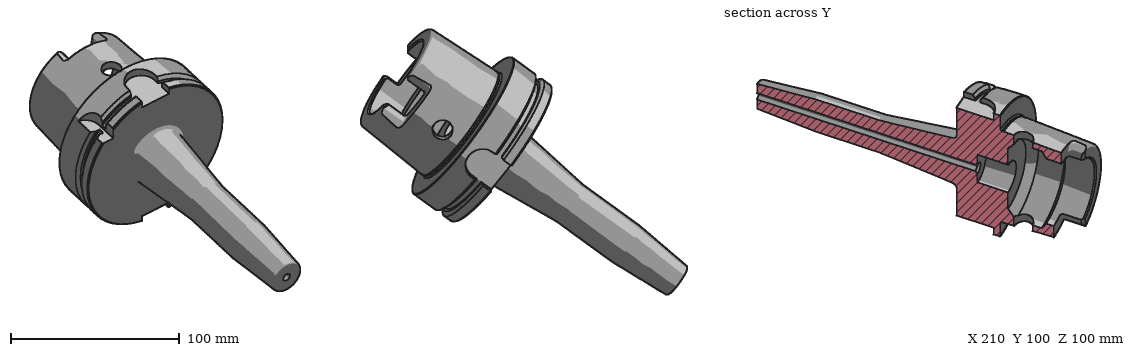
import cadquery as cq


SHANK_LENGTH = 50.0
TAPER_LARGE_RADIUS = 37.83
RELIEF_RADIUS = 75.42 / 2
TAPER_SLOPE = 0.05
RELIEF_START_X = -2.2
RELIEF_FLOOR_END_X = -1.0
COLLAR_RADIUS = 38.5
MOUTH_RADIUS = 53.0 / 2
MOUTH_CHAMFER = 0.9
MOUTH_END_X = -30.0
UNDERCUT_RADIUS = 63.0 / 2
UNDERCUT_CONE_LENGTH = 2.9
CAVITY_END_X = -5.0
CAVITY_FLOOR_RADIUS = 24.6
CAVITY_FLOOR_CONE_LENGTH = 5.0
CLAMP_HOLE_X = -15.0
CLAMP_HOLE_DIAMETER = 12.0
FRONT_EDGE_FILLET = 1.9

DRIVE_SLOT_HALF_WIDTH = 9.8
DRIVE_SLOT_SHOULDER_Z = 32.1
DRIVE_SLOT_SHOULDER_FILLET = 5.5
DRIVE_SLOT_END_FILLET = 1.8
DRIVE_SLOT_BEVEL_WIDTH = 2.0
DRIVE_SLOT_BEVEL_LENGTH = 1.6
UPPER_DRIVE_SLOT_DEPTH = 10.0
LOWER_DRIVE_SLOT_DEPTH = 15.0

FLANGE_RADIUS = 50.0
FLANGE_WIDTH = 29.0
FLANGE_FRONT_CHAMFER = 0.4
FLANGE_BACK_CHAMFER = 0.7
GROOVE_CENTRE_X = 19.75
GROOVE_MOUTH_WIDTH = 6.2
GROOVE_FLOOR_WIDTH = 3.4
GROOVE_FLOOR_RADIUS = 45.6
GROOVE_STEP_RADIUS = 47.4

KEYWAY_WIDTH = 20.0
KEYWAY_FLOOR = 44.5
KEYWAY_END_X = 4.6
NOTCH_FLOOR_Z = 31.2
NOTCH_WALL_Y = -31.2

NECK_RADIUS = 19.05
NECK_FILLET = 3.0
WAIST_X = 79.7
WAIST_RADIUS = 27.0 / 2
TIP_CONE_X = 121.7
TIP_X = 160.0
TIP_RADIUS = 21.0 / 2
TIP_FILLET = 1.0

COOLANT_BORE_DIAMETER = 22.38
COOLANT_BORE_DEPTH = 20.0
CHANNEL_RADIUS = 4.92 / 2
COUNTERSINK_RADIUS = 7.94 / 2
COUNTERSINK_DEPTH = 1.5


def taper_radius(x):
    return TAPER_LARGE_RADIUS + TAPER_SLOPE * (x - RELIEF_START_X)


def revolve_about_x(outline):
    return outline.close().revolve(360, (0, 0, 0), (1, 0, 0))


def turned_over(shape):
    return shape.rotate((0, 0, 0), (1, 0, 0), 180)


def shank():
    body = revolve_about_x(
        cq.Workplane("XY")
        .moveTo(-SHANK_LENGTH, 0)
        .lineTo(-SHANK_LENGTH, taper_radius(-SHANK_LENGTH))
        .lineTo(RELIEF_START_X, TAPER_LARGE_RADIUS)
        .lineTo(RELIEF_START_X, RELIEF_RADIUS)
        .lineTo(RELIEF_FLOOR_END_X, RELIEF_RADIUS)
        .lineTo(0, COLLAR_RADIUS)
        .lineTo(0, 0)
    )
    body = body.faces("<X").edges().fillet(FRONT_EDGE_FILLET)
    body = body.cut(drive_slot(UPPER_DRIVE_SLOT_DEPTH))
    body = body.cut(turned_over(drive_slot(LOWER_DRIVE_SLOT_DEPTH)))
    return body.cut(cavity())


def cavity():
    return revolve_about_x(
        cq.Workplane("XY")
        .moveTo(-SHANK_LENGTH, 0)
        .lineTo(-SHANK_LENGTH, MOUTH_RADIUS + MOUTH_CHAMFER)
        .lineTo(-SHANK_LENGTH + MOUTH_CHAMFER, MOUTH_RADIUS)
        .lineTo(MOUTH_END_X, MOUTH_RADIUS)
        .lineTo(MOUTH_END_X + UNDERCUT_CONE_LENGTH, UNDERCUT_RADIUS)
        .lineTo(CAVITY_END_X - CAVITY_FLOOR_CONE_LENGTH, UNDERCUT_RADIUS)
        .lineTo(CAVITY_END_X, CAVITY_FLOOR_RADIUS)
        .lineTo(CAVITY_END_X, 0)
    )


def drive_slot(depth):
    """Slot at +Z whose walls round over into flat shoulders, open to the end of the shank."""
    half_width = DRIVE_SLOT_HALF_WIDTH
    fillet = DRIVE_SLOT_SHOULDER_FILLET
    shoulder_y = half_width + fillet
    wall_top_z = DRIVE_SLOT_SHOULDER_Z - fillet
    clear = FLANGE_RADIUS
    channel = (
        cq.Workplane("YZ", origin=(-SHANK_LENGTH, 0, 0))
        .moveTo(-half_width, 0)
        .lineTo(-half_width, wall_top_z)
        .radiusArc((-shoulder_y, DRIVE_SLOT_SHOULDER_Z), -fillet)
        .lineTo(-clear, DRIVE_SLOT_SHOULDER_Z)
        .lineTo(-clear, clear)
        .lineTo(clear, clear)
        .lineTo(clear, DRIVE_SLOT_SHOULDER_Z)
        .lineTo(shoulder_y, DRIVE_SLOT_SHOULDER_Z)
        .radiusArc((half_width, wall_top_z), -fillet)
        .lineTo(half_width, 0)
        .close()
        .extrude(depth)
        .faces(">X").edges().fillet(DRIVE_SLOT_END_FILLET)
    )
    bevel = (
        cq.Workplane("XY", origin=(-SHANK_LENGTH, 0, 0))
        .moveTo(0, -half_width - DRIVE_SLOT_BEVEL_WIDTH)
        .lineTo(DRIVE_SLOT_BEVEL_LENGTH, -half_width)
        .lineTo(DRIVE_SLOT_BEVEL_LENGTH, half_width)
        .lineTo(0, half_width + DRIVE_SLOT_BEVEL_WIDTH)
        .close()
        .extrude(clear)
    )
    return channel.union(bevel)


def flange():
    disc = (
        cq.Workplane("YZ")
        .circle(FLANGE_RADIUS)
        .extrude(FLANGE_WIDTH)
        .faces("<X").chamfer(FLANGE_FRONT_CHAMFER)
        .faces(">X").chamfer(FLANGE_BACK_CHAMFER)
    )
    disc = disc.cut(gripper_groove())
    upper_keyway = keyway(KEYWAY_FLOOR, 0)
    disc = disc.cut(upper_keyway).cut(turned_over(upper_keyway))
    corner_notch = keyway(NOTCH_FLOOR_Z, NOTCH_WALL_Y - KEYWAY_WIDTH / 2)
    return disc.cut(corner_notch)


def gripper_groove():
    """Ring groove with sloping flanks above a straight-walled channel."""
    half_mouth = GROOVE_MOUTH_WIDTH / 2
    half_floor = GROOVE_FLOOR_WIDTH / 2
    clear = FLANGE_RADIUS + GROOVE_MOUTH_WIDTH
    return revolve_about_x(
        cq.Workplane("XY")
        .moveTo(GROOVE_CENTRE_X - half_floor, GROOVE_FLOOR_RADIUS)
        .lineTo(GROOVE_CENTRE_X - half_floor, GROOVE_STEP_RADIUS)
        .lineTo(GROOVE_CENTRE_X - half_mouth, FLANGE_RADIUS)
        .lineTo(GROOVE_CENTRE_X - half_mouth, clear)
        .lineTo(GROOVE_CENTRE_X + half_mouth, clear)
        .lineTo(GROOVE_CENTRE_X + half_mouth, FLANGE_RADIUS)
        .lineTo(GROOVE_CENTRE_X + half_floor, GROOVE_STEP_RADIUS)
        .lineTo(GROOVE_CENTRE_X + half_floor, GROOVE_FLOOR_RADIUS)
    )


def keyway(floor_z, centre_y):
    """Round-ended slot along X, open upwards from its flat floor and out through the back."""
    radius = KEYWAY_WIDTH / 2
    arc_centre_x = KEYWAY_END_X + radius
    return (
        cq.Workplane("XY", origin=(0, centre_y, floor_z))
        .moveTo(arc_centre_x, radius)
        .threePointArc((KEYWAY_END_X, 0), (arc_centre_x, -radius))
        .lineTo(FLANGE_WIDTH, -radius)
        .lineTo(FLANGE_WIDTH, radius)
        .close()
        .extrude(FLANGE_RADIUS)
    )


def nose():
    body = revolve_about_x(
        cq.Workplane("XY")
        .moveTo(FLANGE_WIDTH, 0)
        .lineTo(FLANGE_WIDTH, NECK_RADIUS)
        .lineTo(WAIST_X, WAIST_RADIUS)
        .lineTo(TIP_CONE_X, WAIST_RADIUS)
        .lineTo(TIP_X, TIP_RADIUS)
        .lineTo(TIP_X, 0)
    )
    return body.faces(">X").edges().fillet(TIP_FILLET)


def flange_with_nose():
    body = flange().union(nose())
    at_neck = cq.selectors.BoxSelector(
        (FLANGE_WIDTH - NECK_FILLET, -NECK_RADIUS, -NECK_RADIUS),
        (FLANGE_WIDTH + NECK_FILLET, NECK_RADIUS, NECK_RADIUS),
    )
    return body.edges(at_neck).edges("%CIRCLE").fillet(NECK_FILLET)


def clamp_hole():
    return (
        cq.Workplane("XY", origin=(CLAMP_HOLE_X, 0, 0))
        .circle(CLAMP_HOLE_DIAMETER / 2)
        .extrude(FLANGE_RADIUS, both=True)
    )


def coolant_passage():
    bore_end_x = CAVITY_END_X + COOLANT_BORE_DEPTH
    return revolve_about_x(
        cq.Workplane("XY")
        .moveTo(CAVITY_END_X, 0)
        .lineTo(CAVITY_END_X, COOLANT_BORE_DIAMETER / 2)
        .lineTo(bore_end_x, COOLANT_BORE_DIAMETER / 2)
        .lineTo(bore_end_x, COUNTERSINK_RADIUS)
        .lineTo(bore_end_x + COUNTERSINK_DEPTH, CHANNEL_RADIUS)
        .lineTo(TIP_X, CHANNEL_RADIUS)
        .lineTo(TIP_X, 0)
    )


holder = shank().union(flange_with_nose())
result = holder.cut(clamp_hole()).cut(coolant_passage())